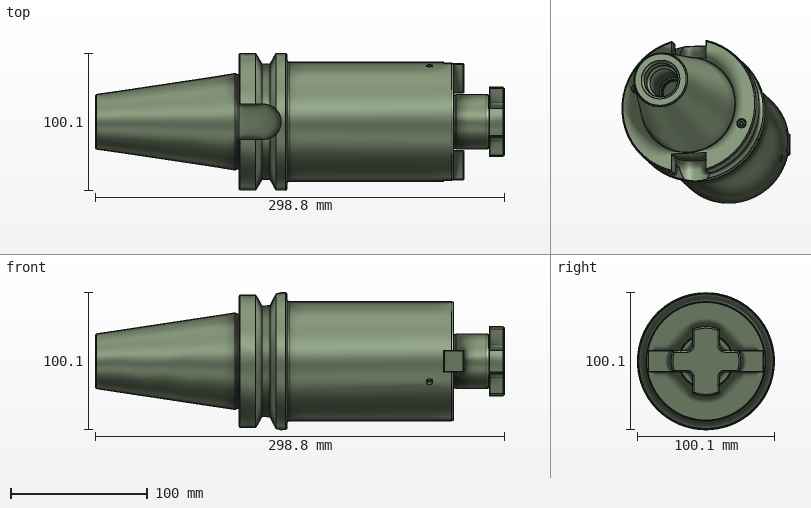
import cadquery as cq
import math


taper_length = 102.0
taper_small_radius = 20.0
taper_large_radius = 35.3
taper_end_chamfer = 1.0
taper_neck_radius = 34.7
taper_neck_start = 103.5

flange_start = 105.0
flange_end = 139.8
flange_radius = 50.05
flange_chamfer = 1.0
groove_start = 117.0
groove_end = 132.0
groove_floor_radius = 42.5
groove_wall_run = 4.5

body_radius = 43.5
body_end = 261.7
body_edge_chamfer = 1.8
body_edge_drop = 0.5
body_root_fillet = 1.8

arbor_radius = 20.0
arbor_end = 287.5
arbor_chamfer_length = 2.0
arbor_chamfer_drop = 0.5
undercut_radius = 19.5
undercut_length = 1.5

bore_mouth_radius = 14.3
bore_radius = 12.5
bore_mouth_depth = 1.8
bore_depth = 11.5
bore_step_length = 1.5
thread_radius = 10.5
thread_depth = 47.8
pilot_radius = 9.0
pilot_depth = 50.8
bore_tip_radius = 8.5
bore_tip_depth = 51.5

drive_slot_half_width = 12.8
drive_slot_end = 135.7
drive_slot_floor = 35.3

key_width = 15.8
key_length = 15.0
key_start = 254.3
key_inner = 21.0
key_outer = 42.5
key_chamfer = 0.5

coolant_angle = 20.0
coolant_hole_radius = 3.3
coolant_hole_distance = 41.8
coolant_hole_tilt = 15.0
coolant_hole_depth = 15.0
coolant_hole_lead = 3.0
plug_recess = 2.5
plug_length = 7.5
plug_chamfer = 0.5
plug_socket_width = 2.7
plug_socket_depth = 2.5
side_hole_radius = 2.25
side_hole_x = 244.0
side_hole_depth = 5.7

head_start = 288.0
head_end = 298.8
head_radius = 25.5
head_chamfer = 1.2
side_arm_half_width = 7.8
upright_arm_half_width = 10.0
head_root_fillet = 4.2
shank_radius = 10.0
shank_length = 30.0


def revolve_about_x(points):
    """Solid of revolution about X from (x, radius) points; the ends are joined along the axis."""
    outline = [(points[0][0], 0), *points, (points[-1][0], 0)]
    return cq.Workplane("XZ").polyline(outline).close().revolve(360, (0, 0, 0), (1, 0, 0))


def opposite_pair(shape):
    """The shape and its copy turned half way round the X axis."""
    return [shape.rotate((0, 0, 0), (1, 0, 0), angle) for angle in (0, 180)]


def make_outer_form():
    """Taper, grooved flange, body and arbor turned as one outline."""
    outline = (
        cq.Workplane("XZ")
        .moveTo(0, 0)
        .lineTo(0, taper_small_radius - taper_end_chamfer)
        .lineTo(taper_end_chamfer, taper_small_radius)
        .lineTo(taper_length, taper_large_radius)
        .lineTo(taper_neck_start, taper_neck_radius)
        .lineTo(flange_start, taper_neck_radius)
        .lineTo(flange_start, flange_radius - flange_chamfer)
        .lineTo(flange_start + flange_chamfer, flange_radius)
        .lineTo(groove_start, flange_radius)
        .lineTo(groove_start + groove_wall_run, groove_floor_radius)
        .lineTo(groove_end - groove_wall_run, groove_floor_radius)
        .lineTo(groove_end, flange_radius)
        .lineTo(flange_end - flange_chamfer, flange_radius)
        .lineTo(flange_end, flange_radius - flange_chamfer)
        .lineTo(flange_end, body_radius + body_root_fillet)
        .radiusArc((flange_end + body_root_fillet, body_radius), -body_root_fillet)
        .lineTo(body_end - body_edge_chamfer, body_radius)
        .lineTo(body_end, body_radius - body_edge_drop)
        .lineTo(body_end, undercut_radius)
        .lineTo(body_end + undercut_length, undercut_radius)
        .lineTo(body_end + undercut_length, arbor_radius)
        .lineTo(arbor_end - arbor_chamfer_length, arbor_radius)
        .lineTo(arbor_end, arbor_radius - arbor_chamfer_drop)
        .lineTo(arbor_end, 0)
        .close()
    )
    return outline.revolve(360, (0, 0, 0), (1, 0, 0))


def make_drawbar_bore():
    return revolve_about_x([
        (0, bore_mouth_radius),
        (bore_mouth_depth, bore_radius),
        (bore_depth, bore_radius),
        (bore_depth + bore_step_length, thread_radius),
        (thread_depth, thread_radius),
        (thread_depth, pilot_radius),
        (pilot_depth, pilot_radius),
        (bore_tip_depth, bore_tip_radius),
    ])


def make_drive_slot():
    """Round-ended slot open towards the taper, cut from its flat floor outwards along +Z."""
    slot_length = drive_slot_end - taper_length
    arc_centre = drive_slot_end - drive_slot_half_width
    height = flange_radius - drive_slot_floor
    straight = (
        cq.Workplane("XY", origin=(0, 0, drive_slot_floor))
        .moveTo(arc_centre - slot_length / 2, 0)
        .rect(slot_length, 2 * drive_slot_half_width)
        .extrude(height)
    )
    round_end = (
        cq.Workplane("XY", origin=(arc_centre, 0, drive_slot_floor))
        .circle(drive_slot_half_width)
        .extrude(height)
    )
    return straight.union(round_end)


def make_key_slot():
    return (
        cq.Workplane("XY")
        .box(body_end - key_start, flange_radius - key_inner, key_width, centered=(False, False, True))
        .translate((key_start, key_inner, 0))
    )


def place_in_flange(shape):
    """Move a shape that starts at the origin along +X to the tilted hole in the flange face."""
    return (
        shape.rotate((0, 0, 0), (0, 0, 1), -coolant_hole_tilt)
        .translate((flange_start, coolant_hole_distance, 0))
        .rotate((0, 0, 0), (1, 0, 0), coolant_angle)
    )


def make_coolant_hole():
    hole = (
        cq.Workplane("YZ", origin=(-coolant_hole_lead, 0, 0))
        .circle(coolant_hole_radius)
        .extrude(coolant_hole_lead + coolant_hole_depth)
    )
    return place_in_flange(hole)


def make_side_hole():
    """Radial blind hole drilled into the body from outside."""
    hole = (
        cq.Workplane("XZ", origin=(side_hole_x, flange_radius, 0))
        .circle(side_hole_radius)
        .extrude(flange_radius - body_radius + side_hole_depth)
    )
    return hole.rotate((0, 0, 0), (1, 0, 0), coolant_angle)


def make_shank():
    """Plain shank of the clamping screw, also the shape of its hole in the arbor."""
    return (
        cq.Workplane("YZ", origin=(head_start - shank_length, 0, 0))
        .circle(shank_radius)
        .extrude(shank_length)
    )


def make_holder():
    holder = make_outer_form().cut(make_drawbar_bore()).cut(make_shank())
    for cutter in (make_drive_slot(), make_key_slot(), make_coolant_hole(), make_side_hole()):
        for copy in opposite_pair(cutter):
            holder = holder.cut(copy)
    return holder


def make_key():
    return (
        cq.Workplane("XY")
        .box(key_length, key_outer - key_inner, key_width, centered=(False, False, True))
        .edges()
        .chamfer(key_chamfer)
        .translate((key_start, key_inner, 0))
    )


def make_plug():
    plug = (
        cq.Workplane("YZ", origin=(plug_recess, 0, 0))
        .circle(coolant_hole_radius)
        .extrude(plug_length)
        .faces("<X")
        .chamfer(plug_chamfer)
    )
    socket = (
        cq.Workplane("YZ", origin=(plug_recess, 0, 0))
        .polygon(6, plug_socket_width / math.cos(math.pi / 6))
        .extrude(plug_socket_depth)
    )
    return place_in_flange(plug.cut(socket))


def make_clamping_screw():
    """Cross-shaped head within a circle, on a plain shank."""
    head_length = head_end - head_start
    head_plane = cq.Workplane("YZ", origin=(head_start, 0, 0))
    cross = (
        head_plane.rect(2 * head_radius, 2 * side_arm_half_width).extrude(head_length)
        .union(head_plane.rect(2 * upright_arm_half_width, 2 * head_radius).extrude(head_length))
    )
    roots = cq.selectors.BoxSelector(
        (head_start, -head_radius / 2, -head_radius / 2),
        (head_end, head_radius / 2, head_radius / 2),
    )
    cross = cross.edges("|X").edges(roots).fillet(head_root_fillet)
    blank = head_plane.circle(head_radius).extrude(head_length)
    head = cross.intersect(blank).faces(">X").chamfer(head_chamfer)
    return head.union(make_shank())


holder = make_holder()
keys = opposite_pair(make_key())
plugs = opposite_pair(make_plug())
clamping_screw = make_clamping_screw()

result = cq.Compound.makeCompound(
    [body.val() for body in (holder, *keys, *plugs, clamping_screw)]
)